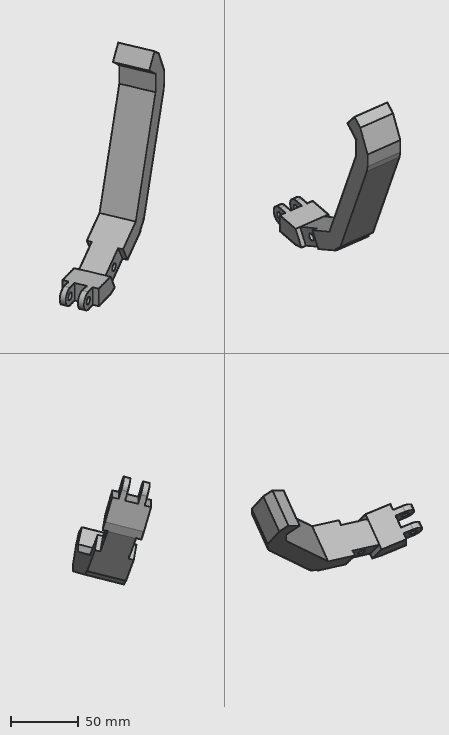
import cadquery as cq
import math

width = 30.0
thickness = 15.0
front_length = 35.2
shank_length = 50.0
shank_angle = math.radians(30)
arm_length = 99.2
arm_angle = math.radians(70)
neck_length = 15.7
hook_length = 13.7
hook_angle = math.radians(142.5)
hook_back_length = 9.3
back_corner_z = 144.5
shank_overrun = 1.0
shank_step_height = 1.5
hole_diameter = 6.0
notch_length = 24.9
notch_depth = 4.0
lug_width = width / 6
lug_length = thickness
lug_radius = thickness / 2


def along(point, angle, distance):
    """Move a (Y, Z) point by a distance in the given direction."""
    y, z = point
    return y + distance * math.cos(angle), z + distance * math.sin(angle)


def across(point, angle):
    """Point on the outer face opposite an inner-face point."""
    return along(point, angle - math.pi / 2, thickness)


front_bend = (front_length, thickness)
middle_bend = along(front_bend, shank_angle, shank_length)
neck_start = along(middle_bend, arm_angle, arm_length)
neck_end = along(neck_start, math.pi / 2, neck_length)
hook_tip = along(neck_end, hook_angle, hook_length)

hook_top = across(hook_tip, hook_angle)
hook_back = along(hook_top, hook_angle, -hook_back_length)
neck_back_y = neck_start[0] + thickness
shank_outer_end = along(across(middle_bend, shank_angle), shank_angle, shank_overrun)
shank_step = along(shank_outer_end, math.pi / 2, shank_step_height)


def make_body():
    """Bent bar with a rounded front end; each bend is bevelled on its outer side."""
    return (
        cq.Workplane("YZ")
        .moveTo(lug_radius, thickness)
        .lineTo(*front_bend)
        .lineTo(*middle_bend)
        .lineTo(*neck_start)
        .lineTo(*neck_end)
        .lineTo(*hook_tip)
        .lineTo(*hook_top)
        .lineTo(*hook_back)
        .lineTo(neck_back_y, back_corner_z)
        .lineTo(neck_back_y, neck_start[1])
        .lineTo(*across(neck_start, arm_angle))
        .lineTo(*across(middle_bend, arm_angle))
        .lineTo(*shank_step)
        .lineTo(*shank_outer_end)
        .lineTo(*across(front_bend, shank_angle))
        .lineTo(front_length, 0)
        .lineTo(lug_radius, 0)
        .threePointArc((0, lug_radius), (lug_radius, thickness))
        .close()
        .extrude(width / 2, both=True)
    )


def make_lug_gaps():
    """Material removed beside and between the two front lugs."""
    gaps = cq.Workplane()
    for gap_center, gap_width in (
        (-width / 2 + lug_width / 2, lug_width),
        (0, 2 * lug_width),
        (width / 2 - lug_width / 2, lug_width),
    ):
        gap = cq.Workplane().box(gap_width, lug_length, thickness, centered=(True, False, False))
        gaps = gaps.add(gap.translate((gap_center, 0, 0)))
    return gaps.combine()


def make_side_notches():
    """Shallow cuts on both sides of the shank, square to its slope."""
    notch_end = along(front_bend, shank_angle, notch_length)
    corners = [front_bend, notch_end, across(notch_end, shank_angle), across(front_bend, shank_angle)]
    slab = cq.Workplane("YZ").polyline(corners).close().extrude(notch_depth)
    return slab.translate((-width / 2, 0, 0)).union(slab.translate((width / 2 - notch_depth, 0, 0)))


def make_cross_hole(center):
    return cq.Workplane("YZ").center(*center).circle(hole_diameter / 2).extrude(width, both=True)


notch_middle = along(front_bend, shank_angle, notch_length / 2)
shank_hole = along(notch_middle, shank_angle - math.pi / 2, thickness / 2)

result = (
    make_body()
    .cut(make_lug_gaps())
    .cut(make_side_notches())
    .cut(make_cross_hole((lug_radius, lug_radius)))
    .cut(make_cross_hole(shank_hole))
)